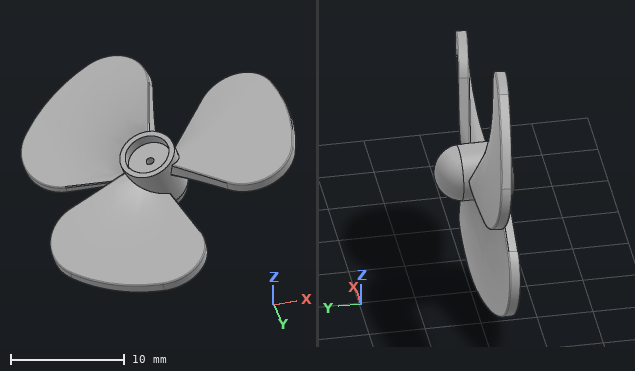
import cadquery as cq
import math

hub_radius = 2.5
hub_length = 4.52
recess_radius = 2.0
recess_depth = 1.0
shaft_hole_radius = 0.35

nose_height = 2.2

blade_count = 3
blade_thickness = 1.0
rim_fillet = 0.1
blade_angle = 90.0
leading_edge_y = 0.45
axis_rise = 3.03
rise_loss_per_radius = 0.08
blade_root_radius = 2.15
straight_edge_end = 8.22
corner_radius = 3.9
outer_arc_offset = 0.7

patch_inner_radius = 1.51
patch_outer_radius = 14.13
patch_overhang = 0.1
patch_steps = 16


def make_nose():
    """Spherical cap seated on the back end of the hub."""
    rim = (hub_radius, hub_length)
    tip = (0, hub_length + nose_height)
    sphere_radius = (hub_radius**2 + nose_height**2) / (2 * nose_height)
    sphere_center_y = tip[1] - sphere_radius
    middle_angle = (math.atan2(rim[1] - sphere_center_y, rim[0]) + math.pi / 2) / 2
    middle = (
        sphere_radius * math.cos(middle_angle),
        sphere_center_y + sphere_radius * math.sin(middle_angle),
    )
    profile = cq.Workplane("XY").moveTo(0, hub_length).lineTo(*rim).threePointArc(middle, tip).close()
    return profile.revolve(360, (0, 0, 0), (0, 1, 0))


def hub_cylinder(radius, length):
    """Cylinder on the hub axis, from the front end towards +Y."""
    return cq.Workplane("XZ").circle(radius).extrude(-length)


def blade_point(radius, turn):
    """Point on the front face; turn runs from 0 (leading, +Z) to 1 (trailing, -X)."""
    angle = math.radians(turn * blade_angle)
    y = leading_edge_y + turn * (axis_rise - rise_loss_per_radius * radius)
    return cq.Vector(-radius * math.sin(angle), y, radius * math.cos(angle))


def make_blade_patch():
    """Twisted front surface, larger than the blade on all sides."""
    radius_step = (patch_outer_radius - patch_inner_radius) / patch_steps
    turn_step = (1 + 2 * patch_overhang) / patch_steps
    points = [
        [
            blade_point(patch_inner_radius + i * radius_step, -patch_overhang + j * turn_step)
            for j in range(patch_steps + 1)
        ]
        for i in range(patch_steps + 1)
    ]
    return cq.Face.makeSplineApprox(points, tol=0.01, minDeg=3, maxDeg=6)


def make_blade_outline():
    """Prism along Y with the outline of the blade, symmetric about its diagonal."""
    corner_x = -corner_radius
    corner_z = straight_edge_end
    outer_x = outer_arc_offset
    outer_z = -outer_arc_offset
    outer_angle = math.atan2(corner_z - outer_z, corner_x - outer_x)
    outer_radius = math.hypot(corner_x - outer_x, corner_z - outer_z) + corner_radius

    def on_corner(angle):
        return (corner_x + corner_radius * math.cos(angle), corner_z + corner_radius * math.sin(angle))

    def mirrored(point):
        return (-point[1], -point[0])

    corner_middle = on_corner(outer_angle / 2)
    corner_end = on_corner(outer_angle)
    diagonal = math.radians(135)
    outer_middle = (
        outer_x + outer_radius * math.cos(diagonal),
        outer_z + outer_radius * math.sin(diagonal),
    )
    leading_root = (0, blade_root_radius)
    root_middle = (blade_root_radius * math.cos(diagonal), blade_root_radius * math.sin(diagonal))
    leading_end = (0, straight_edge_end)
    return (
        cq.Workplane("XZ")
        .moveTo(*leading_root)
        .lineTo(*leading_end)
        .threePointArc(corner_middle, corner_end)
        .threePointArc(outer_middle, mirrored(corner_end))
        .threePointArc(mirrored(corner_middle), mirrored(leading_end))
        .lineTo(*mirrored(leading_root))
        .threePointArc(root_middle, leading_root)
        .close()
        .extrude(-hub_length)
    )


def make_blade():
    """Blade with its leading edge towards +Z, thickened at right angles to its front face, with rounded rims."""
    front_face = make_blade_patch().intersect(make_blade_outline().val()).Faces()[0]
    towards_back = math.copysign(blade_thickness, front_face.normalAt().y)
    blade = front_face.thicken(towards_back)
    broad_faces = sorted(blade.Faces(), key=lambda face: face.Area())[-2:]
    rims = [
        edge
        for face in broad_faces
        for edge in face.Edges()
        if math.hypot(edge.Center().x, edge.Center().z) > hub_radius
    ]
    return blade.fillet(rim_fillet, rims)


def make_propeller():
    """Hub and blades in one piece, with the front recess and the shaft hole."""
    propeller = hub_cylinder(hub_radius, hub_length)
    blade = make_blade()
    for i in range(blade_count):
        propeller = propeller.union(cq.Workplane(blade.rotate((0, 0, 0), (0, 1, 0), i * 360 / blade_count)))
    propeller = propeller.cut(hub_cylinder(recess_radius, recess_depth))
    return propeller.cut(hub_cylinder(shaft_hole_radius, hub_length))


propeller = make_propeller()
nose = make_nose()
result = cq.Compound.makeCompound([propeller.solids().val(), nose.val()])